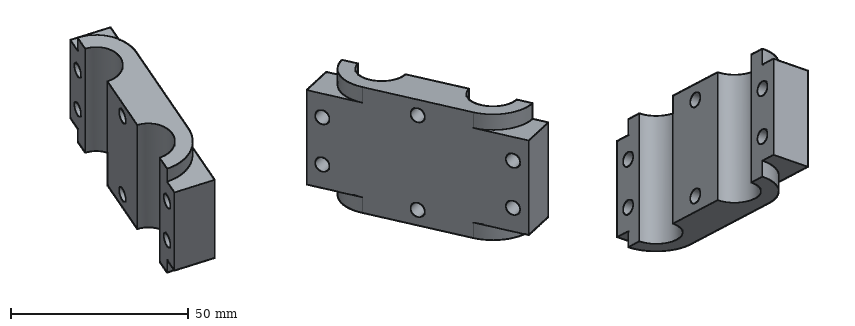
import cadquery as cq

length = 70.0
height = 40.0
depth = 12.5
ear_height = 30.0
groove_spacing = 35.0
groove_diameter = 15.0
hole_diameter = 4.5
ear_hole_spacing = 15.0
center_hole_spacing = 30.0

groove_x = groove_spacing / 2
shoulder_x = groove_x + depth
overshoot = 0.7


def rounded_body():
    """Full-height body with a quarter-round shoulder around each groove."""
    mid = depth * 0.5 ** 0.5
    return (
        cq.Workplane("XY", origin=(0, 0, -height / 2))
        .moveTo(-shoulder_x, 0)
        .lineTo(shoulder_x, 0)
        .threePointArc((groove_x + mid, mid), (groove_x, depth))
        .lineTo(-groove_x, depth)
        .threePointArc((-groove_x - mid, mid), (-shoulder_x, 0))
        .close()
        .extrude(height)
    )


def ear_block():
    """Shorter rectangular block whose ends form the mounting ears."""
    return cq.Workplane("XY").box(length, depth, ear_height, centered=(True, False, True))


def rod_grooves():
    """Two half-round grooves running along Z, centered on the split face y = 0."""
    return (
        cq.Workplane("XY", origin=(0, 0, -height / 2 - overshoot))
        .pushPoints([(-groove_x, 0), (groove_x, 0)])
        .circle(groove_diameter / 2)
        .extrude(height + 2 * overshoot)
    )


def bolt_holes():
    """Through holes along Y: two per ear, at the shoulder edge, and two on the center line."""
    ear_points = [
        (x, z)
        for x in (-shoulder_x, shoulder_x)
        for z in (-ear_hole_spacing / 2, ear_hole_spacing / 2)
    ]
    center_points = [(0, -center_hole_spacing / 2), (0, center_hole_spacing / 2)]
    return (
        cq.Workplane("XZ", origin=(0, depth + overshoot, 0))
        .pushPoints(ear_points + center_points)
        .circle(hole_diameter / 2)
        .extrude(depth + 2 * overshoot)
    )


result = rounded_body().union(ear_block()).cut(rod_grooves()).cut(bolt_holes())